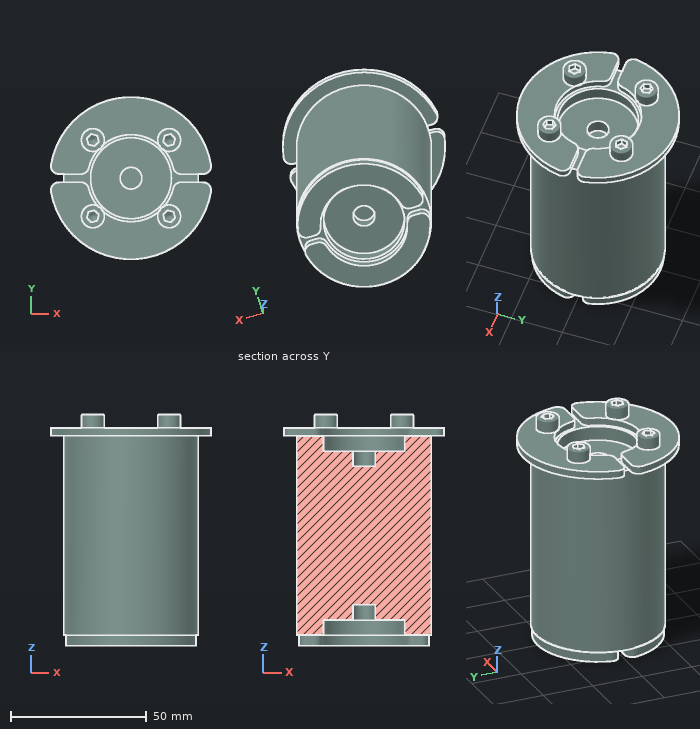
import cadquery as cq
import math

body_diameter = 49.85
body_length = 73.5
bore_diameter = 29.9
bore_depth = 5.6
core_hole_diameter = 8.0
core_hole_depth = 5.6

top_plate_diameter = 60.0
top_plate_thickness = 3.0
top_corner_radius = 3.0
bottom_plate_diameter = 49.0
bottom_plate_thickness = 4.0
bottom_corner_radius = 3.0
plate_hole_diameter = 32.15
plate_gap = 3.0

screw_count = 4
screw_circle_diameter = 39.85
screw_first_angle = 45.0
head_diameter = 8.5
head_height = 5.0
head_edge_radius = 0.5
socket_across_flats = 4.0
socket_depth = 2.5
socket_cone_angle = 120.0
hex_half_angle = 30.0

body_bottom = bottom_plate_thickness
body_top = body_bottom + body_length
plate_top = body_top + top_plate_thickness


def split_plate(diameter, thickness, corner_radius, base_height):
    """Ring cut into two halves by a gap along X, with every vertical corner rounded."""
    ring = cq.Workplane("XY").circle(diameter / 2).circle(plate_hole_diameter / 2).extrude(thickness)
    gap = cq.Workplane("XY").box(2 * diameter, plate_gap, 3 * thickness)
    corner_zone = cq.selectors.BoxSelector(
        (-diameter, -plate_gap, -thickness),
        (diameter, plate_gap, 2 * thickness),
    )
    halves = ring.cut(gap).edges("|Z").edges(corner_zone).fillet(corner_radius)
    return halves.translate((0, 0, base_height))


def stepped_recess():
    """Wide bore with a narrower central hole in its floor, opening upward at Z = 0."""
    bore = cq.Workplane("XY").circle(bore_diameter / 2).extrude(-bore_depth)
    core_hole = cq.Workplane("XY").circle(core_hole_diameter / 2).extrude(-bore_depth - core_hole_depth)
    return bore.union(core_hole)


def make_body():
    """Cylinder with the same stepped recess in both ends."""
    cylinder = cq.Workplane("XY").circle(body_diameter / 2).extrude(body_length)
    top_recess = stepped_recess().translate((0, 0, body_length))
    bottom_recess = stepped_recess().mirror("XY")
    return cylinder.cut(top_recess).cut(bottom_recess).translate((0, 0, body_bottom))


def hex_socket():
    """Hexagonal hole opening upward at Z = 0, with a flat facing +X and a conical bottom."""
    corner_diameter = socket_across_flats / math.cos(math.radians(hex_half_angle))
    corner_radius = corner_diameter / 2
    cone_depth = corner_radius / math.tan(math.radians(socket_cone_angle / 2))
    full_depth = socket_depth + cone_depth
    prism = cq.Workplane("XY").polygon(6, corner_diameter).extrude(-full_depth)
    prism = prism.rotate((0, 0, 0), (0, 0, 1), hex_half_angle)
    pointed_rod = (
        cq.Workplane("XZ")
        .polyline([(0, 0), (corner_radius, 0), (corner_radius, -socket_depth), (0, -full_depth)])
        .close()
        .revolve(360, (0, 0, 0), (0, 1, 0))
    )
    return prism.intersect(pointed_rod)


def screw_head():
    """Cylindrical head standing on Z = 0 with a rounded top edge and a hex socket."""
    head = cq.Workplane("XY").circle(head_diameter / 2).extrude(head_height)
    head = head.faces(">Z").edges().fillet(head_edge_radius)
    return head.cut(hex_socket().translate((0, 0, head_height)))


result = make_body()
result = result.union(
    split_plate(top_plate_diameter, top_plate_thickness, top_corner_radius, body_top)
)
result = result.union(
    split_plate(bottom_plate_diameter, bottom_plate_thickness, bottom_corner_radius, 0)
)

placed_head = screw_head().translate((screw_circle_diameter / 2, 0, plate_top))
for index in range(screw_count):
    angle = screw_first_angle + index * 360 / screw_count
    result = result.union(placed_head.rotate((0, 0, 0), (0, 0, 1), angle))